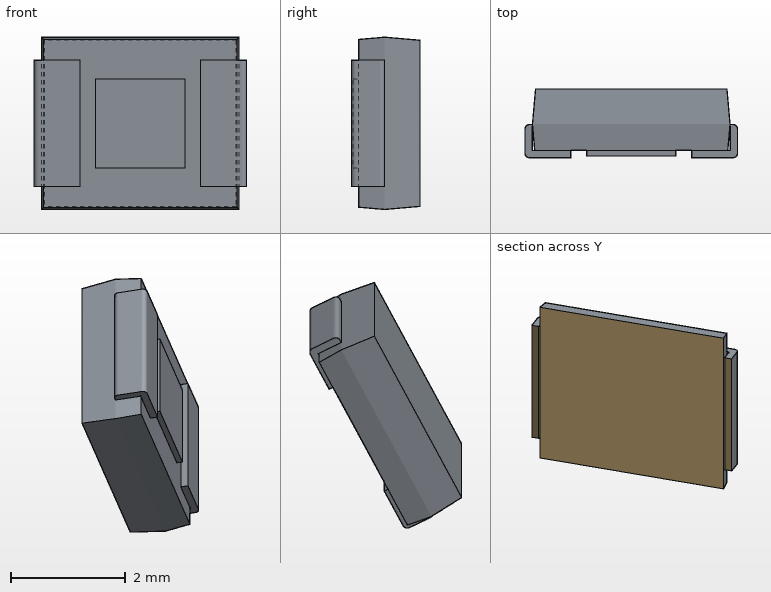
import cadquery as cq
import math

overall_width = 3.7
overall_depth = 1.2
overall_height = 3.0

lead_thickness = 0.13
lead_height = 2.2
foot_length = 0.8
bend_radius = 0.08

front_depth = 0.45
draft_angle = 5.0
case_width = overall_width - 2 * lead_thickness
back_depth = overall_depth - front_depth - lead_thickness

pad_side = 1.55
pad_thickness = 0.1


def case_half(depth, direction):
    """Tapered block from the parting plane towards -Y (direction -1) or +Y (direction 1)."""
    inset = 2 * depth * math.tan(math.radians(draft_angle))
    return (
        cq.Workplane("XZ")
        .rect(case_width, overall_height)
        .workplane(offset=-direction * depth)
        .rect(case_width - inset, overall_height - inset)
        .loft(ruled=True)
    )


def make_case():
    """One molded body with its widest outline at the parting plane."""
    return case_half(front_depth, -1).union(case_half(back_depth, 1))


def make_lead(side):
    """L-shaped lead at the left (side -1) or right (side 1) end of the case."""
    outer_x = side * overall_width / 2
    inner_x = side * case_width / 2
    foot_end_x = side * (overall_width / 2 - foot_length)
    foot_back_y = -front_depth
    foot_front_y = -front_depth - lead_thickness
    outer_edges = "|Z and >X" if side > 0 else "|Z and <X"
    return (
        cq.Workplane("XY")
        .moveTo(inner_x, 0)
        .lineTo(outer_x, 0)
        .lineTo(outer_x, foot_front_y)
        .lineTo(foot_end_x, foot_front_y)
        .lineTo(foot_end_x, foot_back_y)
        .lineTo(inner_x, foot_back_y)
        .close()
        .extrude(lead_height / 2, both=True)
        .edges(outer_edges)
        .fillet(bend_radius)
    )


def make_thermal_pad():
    """Square plate lying on the front face of the case."""
    return (
        cq.Workplane("XZ", origin=(0, -front_depth, 0))
        .rect(pad_side, pad_side)
        .extrude(pad_thickness)
    )


case = make_case()
leads = [make_lead(side) for side in (-1, 1)]
thermal_pad = make_thermal_pad()

result = cq.Compound.makeCompound(
    [case.val(), *[lead.val() for lead in leads], thermal_pad.val()]
)